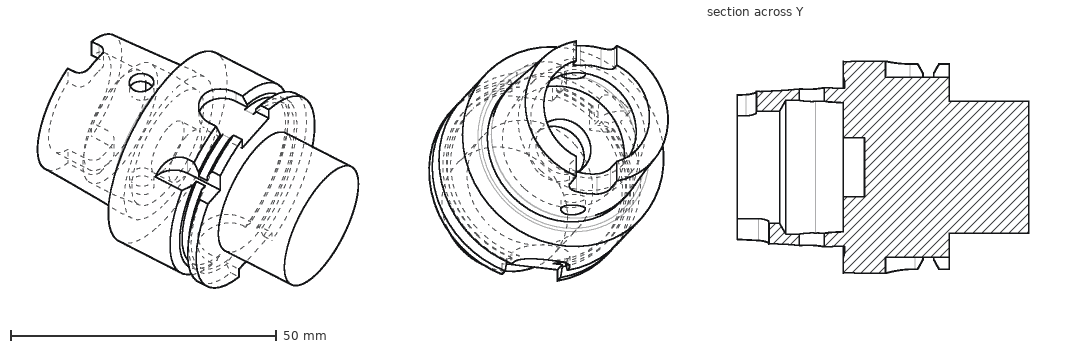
import math

import cadquery as cq


SHANK_LENGTH = 20.0
COLLAR_LENGTH = 20.0
BOSS_LENGTH = 15.0
NECK_LENGTH = 2.0
NECK_STEP_LENGTH = 0.35

COLLAR_RADIUS = 20.0
BOSS_RADIUS = 12.5
NECK_RADIUS = 15.0
CONE_TIP_RADIUS = 14.2
CONE_SLOPE = 1 / 20

RECESS_OUTER_RADIUS = 17.0
RECESS_FLOOR_RADIUS = 16.25
RECESS_DEPTH = 0.2

GROOVE_START = 14.05
GROOVE_END = 18.05
GROOVE_FLOOR_WIDTH = 2.0
GROOVE_FLOOR_RADIUS = 17.4
GROOVE_FLANK_ANGLE = 30.0

BORE_RADIUS = 10.5
BORE_DEPTH = 8.0
UNDERCUT_RADIUS = 12.6
CLAMPING_CONE_ANGLE = 30.0
UNDERCUT_DEPTH = 14.7
INNER_TAPER_ANGLE = 5.0
HOLLOW_DEPTH = 20.0
CENTRE_HOLE_RADIUS = 5.5
CENTRE_HOLE_DEPTH = 4.0

DRIVE_SLOT_WIDTH = 8.05
DRIVE_SLOT_CORNER_RADIUS = 2.0
TOP_DRIVE_SLOT_DEPTH = 3.65
BOTTOM_DRIVE_SLOT_DEPTH = 6.0

CROSS_HOLE_DIAMETER = 4.6
CROSS_HOLE_X = -5.9

TOP_KEYWAY_WIDTH = 9.0
BOTTOM_KEYWAY_WIDTH = 11.0
CORNER_NOTCH_WIDTH = 9.0
KEYWAY_FLOOR_Z = 17.0
KEYWAY_END_X = 8.0
CORNER_NOTCH_FLOOR_Z = 12.0
CORNER_NOTCH_WALL_Y = -11.85

CLEARANCE = 1.0


def revolve_about_x(points):
    """Revolve a closed outline of (x, radius) points about the X axis."""
    return cq.Workplane("XY").polyline(points).close().revolve(360, (0, 0, 0), (1, 0, 0))


def make_body():
    cone_end_x = -NECK_LENGTH - NECK_STEP_LENGTH
    cone_end_radius = CONE_TIP_RADIUS + CONE_SLOPE * (cone_end_x + SHANK_LENGTH)
    boss_end_x = COLLAR_LENGTH + BOSS_LENGTH
    return revolve_about_x([
        (-SHANK_LENGTH, 0),
        (-SHANK_LENGTH, CONE_TIP_RADIUS),
        (cone_end_x, cone_end_radius),
        (-NECK_LENGTH, NECK_RADIUS),
        (RECESS_DEPTH, NECK_RADIUS),
        (RECESS_DEPTH, RECESS_FLOOR_RADIUS),
        (0, RECESS_OUTER_RADIUS),
        (0, COLLAR_RADIUS),
        (COLLAR_LENGTH, COLLAR_RADIUS),
        (COLLAR_LENGTH, BOSS_RADIUS),
        (boss_end_x, BOSS_RADIUS),
        (boss_end_x, 0),
    ])


def make_gripper_groove():
    flank_width = (GROOVE_END - GROOVE_START - GROOVE_FLOOR_WIDTH) / 2
    flank_height = flank_width / math.tan(math.radians(GROOVE_FLANK_ANGLE))
    flank_foot_radius = COLLAR_RADIUS - flank_height
    floor_start = GROOVE_START + flank_width
    floor_end = GROOVE_END - flank_width
    return revolve_about_x([
        (GROOVE_START, COLLAR_RADIUS + CLEARANCE),
        (GROOVE_START, COLLAR_RADIUS),
        (floor_start, flank_foot_radius),
        (floor_start, GROOVE_FLOOR_RADIUS),
        (floor_end, GROOVE_FLOOR_RADIUS),
        (floor_end, flank_foot_radius),
        (GROOVE_END, COLLAR_RADIUS),
        (GROOVE_END, COLLAR_RADIUS + CLEARANCE),
    ])


def make_bore():
    bore_end_x = BORE_DEPTH - SHANK_LENGTH
    clamping_cone_length = (UNDERCUT_RADIUS - BORE_RADIUS) * math.tan(math.radians(CLAMPING_CONE_ANGLE))
    undercut_end_x = UNDERCUT_DEPTH - SHANK_LENGTH
    floor_x = HOLLOW_DEPTH - SHANK_LENGTH
    inner_taper_drop = (HOLLOW_DEPTH - UNDERCUT_DEPTH) * math.tan(math.radians(INNER_TAPER_ANGLE))
    hole_end_x = floor_x + CENTRE_HOLE_DEPTH
    return revolve_about_x([
        (-SHANK_LENGTH - CLEARANCE, 0),
        (-SHANK_LENGTH - CLEARANCE, BORE_RADIUS),
        (bore_end_x, BORE_RADIUS),
        (bore_end_x + clamping_cone_length, UNDERCUT_RADIUS),
        (undercut_end_x, UNDERCUT_RADIUS),
        (floor_x, UNDERCUT_RADIUS - inner_taper_drop),
        (floor_x, CENTRE_HOLE_RADIUS),
        (hole_end_x, CENTRE_HOLE_RADIUS),
        (hole_end_x, 0),
    ])


def make_drive_slot(depth, side):
    """Slot across the wall of the shank's end; side is +1 for the top wall and -1 for the bottom."""
    length = depth + CLEARANCE
    return (
        cq.Workplane("XY")
        .box(length, DRIVE_SLOT_WIDTH, COLLAR_RADIUS, centered=(False, True, False))
        .edges("|Z and >X")
        .fillet(DRIVE_SLOT_CORNER_RADIUS)
        .translate((-SHANK_LENGTH - CLEARANCE, 0, 0 if side > 0 else -COLLAR_RADIUS))
    )


def make_cross_hole():
    return (
        cq.Workplane("XY")
        .center(CROSS_HOLE_X, 0)
        .circle(CROSS_HOLE_DIAMETER / 2)
        .extrude(COLLAR_RADIUS, both=True)
    )


def make_keyway(width, floor_z, centre_y):
    """Round-ended keyway, open upwards and through the collar's rear face."""
    radius = width / 2
    arc_x = KEYWAY_END_X + radius
    open_x = COLLAR_LENGTH + CLEARANCE
    return (
        cq.Workplane("XY", origin=(0, centre_y, floor_z))
        .moveTo(open_x, -radius)
        .lineTo(arc_x, -radius)
        .threePointArc((KEYWAY_END_X, 0), (arc_x, radius))
        .lineTo(open_x, radius)
        .close()
        .extrude(COLLAR_RADIUS)
    )


top_keyway = make_keyway(TOP_KEYWAY_WIDTH, KEYWAY_FLOOR_Z, 0)
bottom_keyway = make_keyway(BOTTOM_KEYWAY_WIDTH, KEYWAY_FLOOR_Z, 0).mirror("XY")
corner_notch_centre_y = CORNER_NOTCH_WALL_Y - CORNER_NOTCH_WIDTH / 2
corner_notch = make_keyway(CORNER_NOTCH_WIDTH, CORNER_NOTCH_FLOOR_Z, corner_notch_centre_y)

result = (
    make_body()
    .cut(make_gripper_groove())
    .cut(make_bore())
    .cut(make_drive_slot(TOP_DRIVE_SLOT_DEPTH, 1))
    .cut(make_drive_slot(BOTTOM_DRIVE_SLOT_DEPTH, -1))
    .cut(make_cross_hole())
    .cut(top_keyway)
    .cut(bottom_keyway)
    .cut(corner_notch)
)